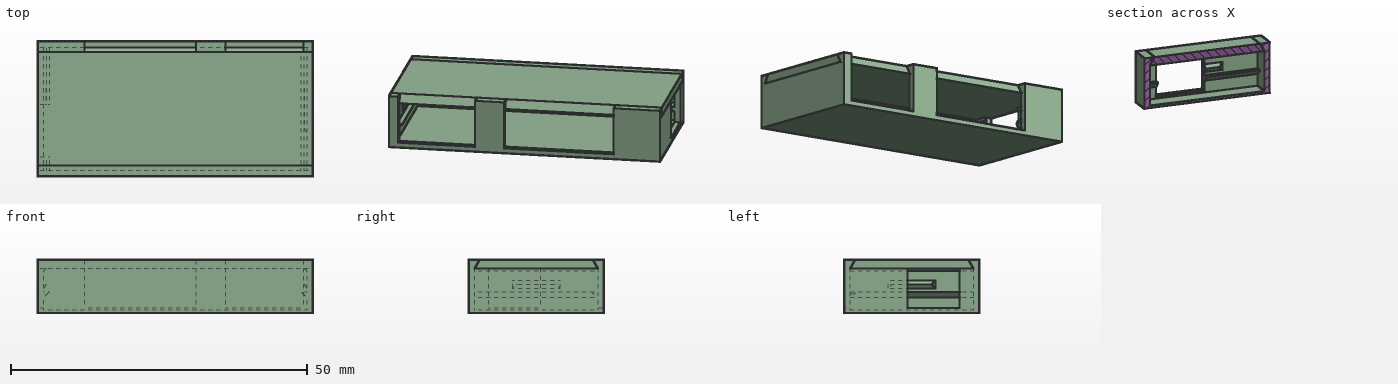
import cadquery as cq

length = 46.4
width = 22.8
height = 9.0

lid_thickness = 1.5
lid_top_inset = 1.85
lid_bottom_inset = 1.0
lid_bottom_z = height - lid_thickness

wall = 1.0
floor_thickness = 0.5
cavity_length = length - 2 * wall

window_y_min = -8.07
window_y_max = 0.7
sill_z = 0.9

shelf_depth = 0.97
shelf_top_z = 3.55
corbel_depth = 0.45

catch_length = 8.07
catch_bottom_z = 4.15
catch_height = 1.4
catch_depth = 0.4
catch_end_slope = 0.7

long_slot_start = 7.95
long_slot_end = 26.7
short_slot_start = 31.65
short_slot_end = 44.78


def make_lid():
    half_top = width / 2 - lid_top_inset
    half_bottom = width / 2 - lid_bottom_inset
    return (
        cq.Workplane("YZ", origin=(-length / 2, 0, 0))
        .moveTo(-half_bottom, lid_bottom_z)
        .lineTo(half_bottom, lid_bottom_z)
        .lineTo(half_top, height)
        .lineTo(-half_top, height)
        .close()
        .extrude(length)
    )


def make_bracket(top_z, depth):
    """Flat-topped bracket across the cavity, on the +X end wall."""
    wall_x = cavity_length / 2
    cavity_width = width - 2 * wall
    return (
        cq.Workplane("XZ", origin=(0, cavity_width / 2, 0))
        .moveTo(wall_x, top_z)
        .lineTo(wall_x - depth, top_z)
        .lineTo(wall_x, top_z - depth)
        .close()
        .extrude(cavity_width)
    )


def make_catch():
    """Triangular ridge with hipped ends, on the +X end wall."""
    wall_x = cavity_length / 2
    mid_z = catch_bottom_z + catch_height / 2
    ridge = (
        cq.Workplane("XZ", origin=(0, catch_length / 2, 0))
        .moveTo(wall_x, catch_bottom_z)
        .lineTo(wall_x - catch_depth, mid_z)
        .lineTo(wall_x, catch_bottom_z + catch_height)
        .close()
        .extrude(catch_length)
    )
    hipped_outline = (
        cq.Workplane("XY", origin=(0, 0, catch_bottom_z))
        .moveTo(wall_x, -catch_length / 2)
        .lineTo(wall_x - catch_depth, -catch_length / 2 + catch_end_slope)
        .lineTo(wall_x - catch_depth, catch_length / 2 - catch_end_slope)
        .lineTo(wall_x, catch_length / 2)
        .close()
        .extrude(catch_height)
    )
    return ridge.intersect(hipped_outline)


def make_window():
    """Cutter through the -X wall and the brackets and catch on it."""
    depth = wall + shelf_depth
    return cq.Workplane("XY").box(
        depth, window_y_max - window_y_min, lid_bottom_z - sill_z, centered=False
    ).translate((-length / 2, window_y_min, sill_z))


def make_side_slot(start, end, bottom_z):
    """Cutter through the +Y wall, from bottom_z up through the top."""
    return cq.Workplane("XY").box(
        end - start, lid_top_inset, height - bottom_z, centered=False
    ).translate((start - length / 2, width / 2 - lid_top_inset, bottom_z))


def make_housing(lid):
    body = cq.Workplane("XY").box(length, width, height, centered=(True, True, False))
    cavity = (
        cq.Workplane("XY", origin=(0, 0, floor_thickness))
        .rect(cavity_length, width - 2 * wall)
        .extrude(lid_bottom_z - floor_thickness)
    )
    body = body.cut(cavity).cut(lid)
    end_wall_features = [
        make_bracket(shelf_top_z, shelf_depth),
        make_bracket(lid_bottom_z, corbel_depth),
        make_catch(),
    ]
    for feature in end_wall_features:
        body = body.union(feature).union(feature.mirror("YZ"))
    body = body.cut(make_window())
    body = body.cut(make_side_slot(long_slot_start, long_slot_end, sill_z))
    return body.cut(make_side_slot(short_slot_start, short_slot_end, sill_z))


lid = make_lid()
housing = make_housing(lid)

result = cq.Compound.makeCompound([housing.val(), lid.val()])